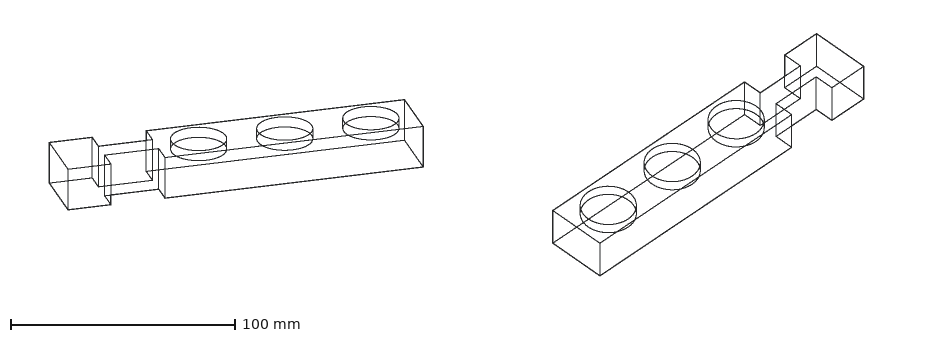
import cadquery as cq

length = 165.0
width = 30.0
height = 20.0

head_length = 20.0
neck_length = 25.0
neck_width = 10.0
body_length = length - head_length - neck_length

pocket_count = 3
pocket_diameter = 25.0
pocket_depth = 5.0
pocket_pitch = body_length / pocket_count


def bar(bar_width, start_y, bar_length):
    """Full-height bar centred on X, running from start_y toward +Y."""
    return (
        cq.Workplane("XY")
        .box(bar_width, bar_length, height, centered=(True, False, False))
        .translate((0, start_y, 0))
    )


body_start = head_length + neck_length
head = bar(width, 0, head_length)
neck = bar(neck_width, head_length, neck_length)
body = bar(width, body_start, body_length)

pocket_centers = [
    (0, body_start + (index + 0.5) * pocket_pitch)
    for index in range(pocket_count)
]
pockets = (
    cq.Workplane("XY")
    .workplane(offset=height - pocket_depth)
    .pushPoints(pocket_centers)
    .circle(pocket_diameter / 2)
    .extrude(pocket_depth)
)

result = head.union(neck).union(body).cut(pockets)